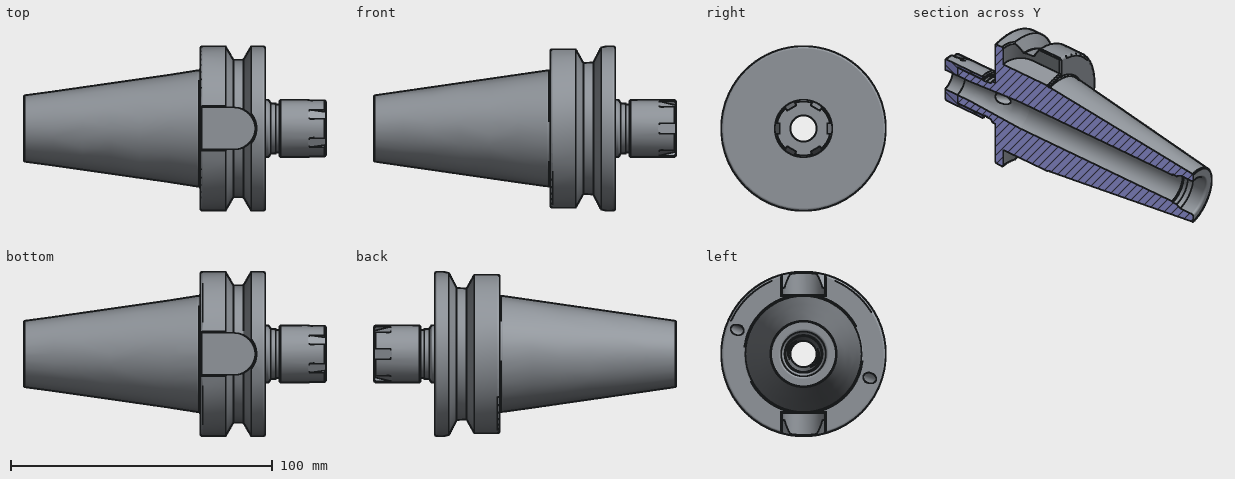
import cadquery as cq
import math

total_length = 115.6

tolerance = 0.01

taper_end_x = 66.1
taper_small_radius = 12.7
taper_large_radius = 22.2
taper_edge_chamfer = 0.3
neck_fillet = 0.6

flange_start_x = 67.4
flange_end_x = 92.4
flange_radius = 31.5
flange_edge_fillet = 1.0
groove_start_x = 77.1
groove_end_x = 86.9
groove_floor_radius = 26.4
groove_wall_angle = 30.0
groove_fillet = 0.2

collar_radius = 11.0
collar_length = 1.2
collar_fillet = 0.3
collar_cone_length = 0.9
spigot_radius = 9.6
relief_radius = 9.2
relief_length = 1.4
spigot_end_x = 109.8

through_radius = 5.0
bore_mouth_fillet = 1.0
pilot_radius = 8.5
pilot_depth = 6.1
seat_radius = 7.3
seat_start_x = 7.7
seat_end_x = 9.6
main_bore_radius = 6.8
main_bore_start_x = 9.9
main_bore_end_x = 80.9
bore_cone_end_x = 104.0

slot_width = 16.1
slot_tip_x = 88.4
slot_floor_z = 22.7
slot_chamfer = 0.6

coolant_radius = 2.0
coolant_circle_radius = 26.9
coolant_angle = 20.0
coolant_tilt = 40.0
coolant_end_radius = 2.3
coolant_overrun = 5.8

nut_start_x = 97.7
nut_radius = 11.0
nut_back_chamfer = 0.6
nut_front_chamfer = 0.7
nut_slot_count = 6
nut_slot_width = 4.0
nut_slot_start_x = 108.7
nut_slot_end_depth = 2.0


def revolved(profile):
    """Turn a closed profile, drawn as X and radius, about the X axis."""
    return profile.close().revolve(360, (0, 0, 0), (1, 0, 0))


def edges_where(body, condition):
    """Edges of the body that satisfy the condition."""
    return body.newObject([edge for edge in body.edges().vals() if condition(edge)])


def rims(body, x, radius):
    """Circular edges, or what is left of them, at one X and one radius."""

    def on_rim(edge):
        ends = (edge.startPoint(), edge.endPoint(), edge.positionAt(0.5))
        return all(
            abs(end.x - x) < tolerance and abs(math.hypot(end.y, end.z) - radius) < tolerance for end in ends
        )

    return edges_where(body, on_rim)


def make_blank():
    """Turned outside of the holder, with the rim at the flange face still sharp."""
    wall_run = (flange_radius - groove_floor_radius) * math.tan(math.radians(groove_wall_angle))
    groove_floor_start_x = groove_start_x + wall_run
    groove_floor_end_x = groove_end_x - wall_run
    collar_end_x = flange_end_x + collar_length
    relief_start_x = nut_start_x - relief_length
    profile = (
        cq.Workplane("XZ")
        .lineTo(0, taper_small_radius - taper_edge_chamfer)
        .lineTo(taper_edge_chamfer, taper_small_radius)
        .lineTo(taper_end_x, taper_large_radius)
        .lineTo(flange_start_x, taper_large_radius)
        .lineTo(flange_start_x, flange_radius)
        .lineTo(groove_start_x, flange_radius)
        .lineTo(groove_floor_start_x, groove_floor_radius)
        .lineTo(groove_floor_end_x, groove_floor_radius)
        .lineTo(groove_end_x, flange_radius)
        .lineTo(flange_end_x, flange_radius)
        .lineTo(flange_end_x, collar_radius)
        .lineTo(collar_end_x, collar_radius)
        .lineTo(collar_end_x + collar_cone_length, spigot_radius)
        .lineTo(relief_start_x, spigot_radius)
        .lineTo(relief_start_x, relief_radius)
        .lineTo(nut_start_x, relief_radius)
        .lineTo(nut_start_x, spigot_radius)
        .lineTo(spigot_end_x, spigot_radius)
        .lineTo(spigot_end_x, 0)
    )
    blank = revolved(profile)
    blank = rims(blank, flange_start_x, taper_large_radius).fillet(neck_fillet)
    blank = rims(blank, flange_end_x, flange_radius).fillet(flange_edge_fillet)
    blank = rims(blank, groove_floor_start_x, groove_floor_radius).fillet(groove_fillet)
    blank = rims(blank, groove_floor_end_x, groove_floor_radius).fillet(groove_fillet)
    return rims(blank, collar_end_x, collar_radius).fillet(collar_fillet)


def make_bore():
    """Stepped bore along the whole holder."""
    profile = (
        cq.Workplane("XZ")
        .lineTo(0, pilot_radius)
        .lineTo(pilot_depth, pilot_radius)
        .lineTo(seat_start_x, seat_radius)
        .lineTo(seat_end_x, seat_radius)
        .lineTo(main_bore_start_x, main_bore_radius)
        .lineTo(main_bore_end_x, main_bore_radius)
        .lineTo(bore_cone_end_x, through_radius)
        .lineTo(spigot_end_x, through_radius)
        .lineTo(spigot_end_x, 0)
    )
    return revolved(profile)


def make_drive_slot():
    """Round-ended slot above the axis, open at the flange face."""
    half_width = slot_width / 2
    center_x = slot_tip_x - half_width
    return (
        cq.Workplane("XY", origin=(0, 0, slot_floor_z))
        .moveTo(taper_end_x, -half_width)
        .lineTo(center_x, -half_width)
        .threePointArc((slot_tip_x, 0), (center_x, half_width))
        .lineTo(taper_end_x, half_width)
        .close()
        .extrude(flange_radius - slot_floor_z)
    )


def make_slot_flare():
    """Cutter that chamfers the drive slot's sides and floor where they meet the flange face."""
    mouth_width = slot_width + 2 * slot_chamfer
    mouth_floor_z = slot_floor_z - slot_chamfer
    mouth_height = 2 * (flange_radius - mouth_floor_z)
    mouth = cq.Workplane("YZ", origin=(flange_start_x, 0, mouth_floor_z + mouth_height / 2))
    flare = mouth.rect(mouth_width, mouth_height).extrude(slot_chamfer, taper=45)
    return flare.union(mouth.rect(mouth_width, mouth_height).extrude(-neck_fillet))


def chamfer_slot_rims(body):
    """Chamfer the edges where the drive slots break through the outside of the flange."""

    def on_slot_rim(edge):
        ends = (edge.startPoint(), edge.endPoint())
        on_outside = all(abs(math.hypot(end.y, end.z) - flange_radius) < tolerance for end in ends)
        is_side = edge.geomType() == "LINE" and abs(abs(edge.Center().y) - slot_width / 2) < tolerance
        is_round_end = edge.geomType() == "BSPLINE"
        return on_outside and (is_side or is_round_end)

    return edges_where(body, on_slot_rim).chamfer(slot_chamfer)


def both_slots(cutter):
    """The cutter for the upper slot and its copy for the lower slot."""
    return [cutter.rotate((0, 0, 0), (1, 0, 0), angle) for angle in (0, 180)]


def cut_drive_slots(body):
    for slot in both_slots(make_drive_slot()):
        body = body.cut(slot)
    body = chamfer_slot_rims(body)
    for flare in both_slots(make_slot_flare()):
        body = body.cut(flare)
    return body


def coolant_holes():
    """Two opposite holes that run from the flange face inward to the bore."""
    tilt = math.radians(coolant_tilt)
    length = (coolant_circle_radius - coolant_end_radius) / math.sin(tilt)
    direction = cq.Vector(math.cos(tilt), -math.sin(tilt), 0)
    entry = cq.Vector(flange_start_x, coolant_circle_radius, 0)
    start = entry - direction * coolant_overrun
    hole = cq.Workplane(cq.Solid.makeCylinder(coolant_radius, length + coolant_overrun, start, direction))
    angles = (coolant_angle, coolant_angle + 180)
    return [hole.rotate((0, 0, 0), (1, 0, 0), angle) for angle in angles]


def make_holder():
    holder = cut_drive_slots(make_blank())
    holder = rims(holder, flange_start_x, flange_radius).fillet(flange_edge_fillet)
    holder = holder.cut(make_bore())
    holder = rims(holder, 0, pilot_radius).fillet(bore_mouth_fillet)
    for hole in coolant_holes():
        holder = holder.cut(hole)
    return holder


def make_nut_slot():
    """Wedge above the axis that deepens toward the front face of the nut."""
    return (
        cq.Workplane("XZ", origin=(0, nut_slot_width / 2, 0))
        .moveTo(nut_slot_start_x, nut_radius)
        .lineTo(total_length, nut_radius - nut_slot_end_depth)
        .lineTo(total_length, nut_radius)
        .close()
        .extrude(nut_slot_width)
    )


def make_nut():
    nut_length = total_length - nut_start_x
    back = cq.Workplane("YZ", origin=(nut_start_x, 0, 0))
    nut = back.circle(nut_radius).extrude(nut_length)
    nut = nut.faces("<X").chamfer(nut_back_chamfer)
    nut = nut.faces(">X").chamfer(nut_front_chamfer)
    nut = nut.cut(back.circle(spigot_radius).extrude(spigot_end_x - nut_start_x))
    nut = nut.cut(back.circle(through_radius).extrude(nut_length))
    slot = make_nut_slot()
    for i in range(nut_slot_count):
        nut = nut.cut(slot.rotate((0, 0, 0), (1, 0, 0), 90 + i * 360 / nut_slot_count))
    return nut


holder = make_holder()
nut = make_nut()
result = cq.Compound.makeCompound([holder.val(), nut.val()])